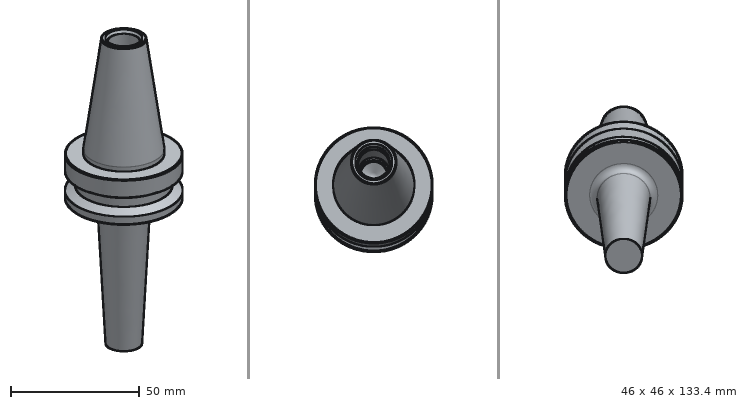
import cadquery as cq
import math

total_height = 133.4

gauge_radius = 15.9
shank_length = 48.4
shank_slope = 7 / 24 / 2
shank_chamfer = 0.4

flange_radius = 23.01
flange_top = 83.0
flange_height = 20.0
flange_top_chamfer = 0.4
flange_bottom_chamfer = 0.7
groove_root_radius = 19.1
groove_root_height = 3.9
groove_center_below_top = 11.9
groove_side_angle = 30.0

tip_radius = 7.2
nose_angle = 3.0
nose_fillet = 3.0

mouth_radius = 7.2
mouth_depth = 1.3
counterbore_radius = 6.3
counterbore_depth = 7.0
thread_radius = 6.1
thread_depth = 24.0
pilot_radius = 5.2
pilot_depth = 28.0
drill_point_angle = 118.0


def make_body():
    gauge_height = total_height - shank_length
    shank_top_radius = gauge_radius - shank_length * shank_slope
    chamfer_base_radius = shank_top_radius + shank_chamfer * shank_slope

    flange_bottom = flange_top - flange_height
    groove_center = flange_top - groove_center_below_top
    root_top = groove_center + groove_root_height / 2
    root_bottom = groove_center - groove_root_height / 2
    groove_side_rise = (flange_radius - groove_root_radius) * math.tan(math.radians(groove_side_angle))

    slope = math.radians(nose_angle)
    fillet_center_height = flange_bottom - nose_fillet
    fillet_center_radius = (
        tip_radius + fillet_center_height * math.tan(slope) + nose_fillet / math.cos(slope)
    )

    def fillet_point(angle):
        return (
            fillet_center_radius - nose_fillet * math.cos(angle),
            fillet_center_height + nose_fillet * math.sin(angle),
        )

    fillet_start = -slope
    fillet_end = math.pi / 2
    fillet_middle = (fillet_start + fillet_end) / 2

    profile = (
        cq.Workplane("XZ")
        .lineTo(tip_radius, 0)
        .lineTo(*fillet_point(fillet_start))
        .threePointArc(fillet_point(fillet_middle), fillet_point(fillet_end))
        .lineTo(flange_radius - flange_bottom_chamfer, flange_bottom)
        .lineTo(flange_radius, flange_bottom + flange_bottom_chamfer)
        .lineTo(flange_radius, root_bottom - groove_side_rise)
        .lineTo(groove_root_radius, root_bottom)
        .lineTo(groove_root_radius, root_top)
        .lineTo(flange_radius, root_top + groove_side_rise)
        .lineTo(flange_radius, flange_top - flange_top_chamfer)
        .lineTo(flange_radius - flange_top_chamfer, flange_top)
        .lineTo(gauge_radius, flange_top)
        .lineTo(gauge_radius, gauge_height)
        .lineTo(chamfer_base_radius, total_height - shank_chamfer)
        .lineTo(chamfer_base_radius - shank_chamfer, total_height)
        .lineTo(0, total_height)
        .close()
    )
    return profile.revolve(360, (0, 0, 0), (0, 1, 0))


def make_hole():
    drill_slope = math.tan(math.radians(90 - drill_point_angle / 2))
    thread_cone_depth = (thread_radius - pilot_radius) * drill_slope
    drill_point_depth = pilot_radius * drill_slope
    profile = (
        cq.Workplane("XZ", origin=(0, 0, total_height))
        .lineTo(mouth_radius, 0)
        .lineTo(counterbore_radius, -mouth_depth)
        .lineTo(counterbore_radius, -counterbore_depth)
        .lineTo(thread_radius, -counterbore_depth)
        .lineTo(thread_radius, -thread_depth)
        .lineTo(pilot_radius, -thread_depth - thread_cone_depth)
        .lineTo(pilot_radius, -pilot_depth)
        .lineTo(0, -pilot_depth - drill_point_depth)
        .close()
    )
    return profile.revolve(360, (0, 0, 0), (0, 1, 0))


result = make_body().cut(make_hole())